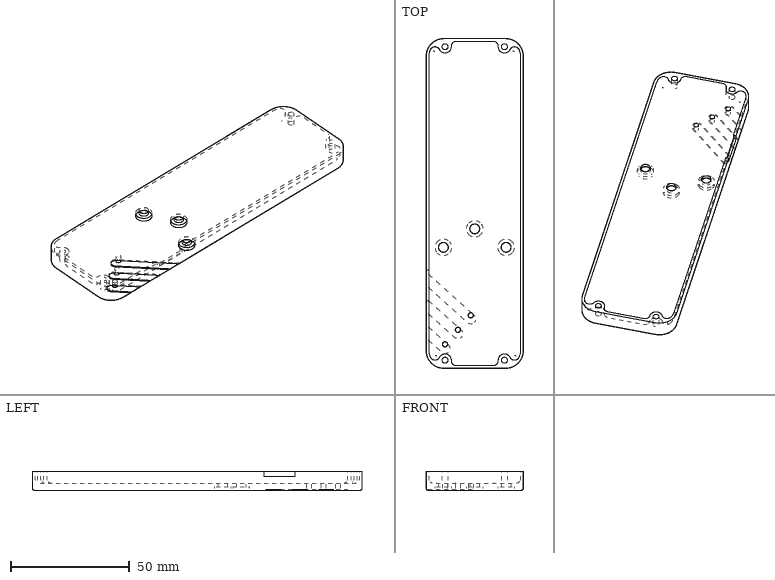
import cadquery as cq
import math

WIDTH = 41.0
LENGTH = 138.8
HEIGHT = 8.0
CORNER_RADIUS = 7.5
BOTTOM_FILLET = 1.0

WALL = 1.2
FLOOR = 3.0
FLOOR_FILLET = 2.0

POST_RADIUS = 2.6
POST_BLEND_RADIUS = 2.1
POST_X = 12.5
POST_INSET_Y = 3.5
SCREW_HOLE_DIAMETER = 2.5

LARGE_HOLE_DIAMETER = 4.0
LARGE_HOLES = [(0, -10.7), (-13.2, -18.5), (13.2, -18.5)]
COUNTERBORE_DIAMETER = 7.0
COUNTERBORE_DEPTH = 1.5
SMALL_HOLE_DIAMETER = 2.1
SMALL_HOLE_COUNT = 3
SMALL_HOLE_START = (-12.5, -59.3)
SMALL_HOLE_STEP = (5.4, 6.1)

GROOVE_WIDTH = 4.2
GROOVE_DEPTH = 0.5
GROOVE_ANGLE = -42
GROOVE_MOUTH_Y = -53.9
GROOVE_PITCH = 11.1

NOTCH_LENGTH = 13.0
NOTCH_DEPTH = 2.1
NOTCH_Y = -34.5

CAVITY_DEPTH = HEIGHT - FLOOR
SMALL_HOLES = [
    (SMALL_HOLE_START[0] + i * SMALL_HOLE_STEP[0], SMALL_HOLE_START[1] + i * SMALL_HOLE_STEP[1])
    for i in range(SMALL_HOLE_COUNT)
]
POST_Y = LENGTH / 2 - POST_INSET_Y
POSTS = [(sx * POST_X, sy * POST_Y) for sx in (-1, 1) for sy in (-1, 1)]


def rounded_block(width, length, height, corner_radius):
    block = cq.Workplane("XY").box(width, length, height, centered=(True, True, False))
    return block.edges("|Z").fillet(corner_radius)


def body():
    block = rounded_block(WIDTH, LENGTH, HEIGHT, CORNER_RADIUS)
    return block.faces("<Z").edges().fillet(BOTTOM_FILLET)


def cavity():
    """Solid to remove: the inside space, running around the four posts."""
    space = rounded_block(WIDTH - 2 * WALL, LENGTH - 2 * WALL, CAVITY_DEPTH, CORNER_RADIUS - WALL)
    posts = cq.Workplane("XY").pushPoints(POSTS).circle(POST_RADIUS).extrude(CAVITY_DEPTH)
    space = space.cut(posts)

    for x, y in POSTS:
        around_post = cq.selectors.BoxSelector(
            (x - POST_RADIUS, y - POST_RADIUS, 0),
            (x + POST_RADIUS, y + POST_RADIUS, CAVITY_DEPTH),
        )
        space = space.edges(around_post).edges("|Z").fillet(POST_BLEND_RADIUS)
    space = space.faces("<Z").edges().fillet(FLOOR_FILLET)
    return space.translate((0, 0, FLOOR))


def screw_holes():
    holes = cq.Workplane("XY").workplane(offset=FLOOR).pushPoints(POSTS)
    return holes.circle(SCREW_HOLE_DIAMETER / 2).extrude(CAVITY_DEPTH)


def floor_holes():
    large = cq.Workplane("XY").pushPoints(LARGE_HOLES)
    large = large.circle(LARGE_HOLE_DIAMETER / 2).extrude(HEIGHT)

    counterbores = cq.Workplane("XY").pushPoints(LARGE_HOLES)
    counterbores = counterbores.circle(COUNTERBORE_DIAMETER / 2).extrude(COUNTERBORE_DEPTH)

    small = cq.Workplane("XY").pushPoints(SMALL_HOLES)
    small = small.circle(SMALL_HOLE_DIAMETER / 2).extrude(HEIGHT)
    return large.union(counterbores).union(small)


def underside_grooves():
    """Round-ended grooves centred on the -X edge, each reaching inward as far as its hole."""
    grooves = cq.Workplane("XY")
    for i, (hole_x, _) in enumerate(SMALL_HOLES):
        reach = (hole_x + WIDTH / 2) / math.cos(math.radians(GROOVE_ANGLE))
        groove = cq.Workplane("XY").slot2D(2 * reach + GROOVE_WIDTH, GROOVE_WIDTH, GROOVE_ANGLE)
        mouth = (-WIDTH / 2, GROOVE_MOUTH_Y + i * GROOVE_PITCH, 0)
        grooves = grooves.add(groove.extrude(GROOVE_DEPTH).translate(mouth))
    return grooves.combine()


def rim_notch():
    notch = cq.Workplane("XY").box(WALL, NOTCH_LENGTH, NOTCH_DEPTH, centered=(False, True, False))
    return notch.translate((-WIDTH / 2, NOTCH_Y, HEIGHT - NOTCH_DEPTH))


result = body().cut(cavity()).cut(screw_holes()).cut(floor_holes()).cut(underside_grooves()).cut(rim_notch())